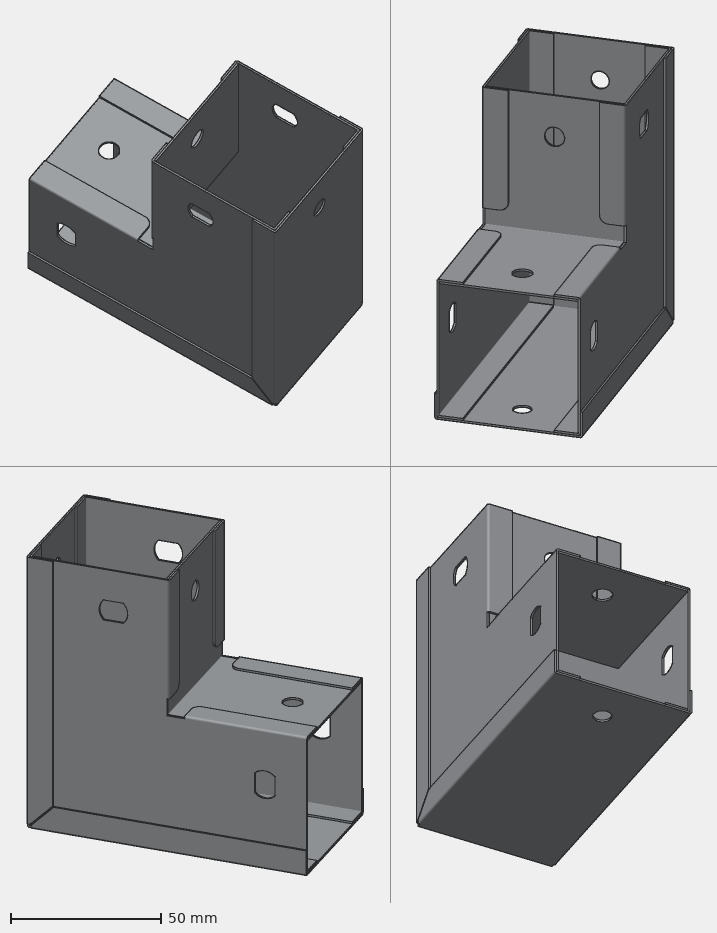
import cadquery as cq
import math


SIZE = 100.0
WIDTH = 51.6
SHEET = 0.75
BEND_INSIDE = 0.1
LEG_DEPTH = 50.1
OUTER_LIP = 9.4
PANEL_LIP = 9.1
NOTCH_LIP_LENGTH = 43.8
NOTCH_LIP_ROUND = 3.0
MITER_GAP = 0.6
HOLE_FROM_END = 15.0
SLOT_HEIGHT = 30.8
SLOT_LENGTH = 10.2
SLOT_WIDTH = 7.4
INNER_HOLE_DIAMETER = 7.0
OUTER_HOLE_DIAMETER = 6.4

BEND_OUTSIDE = BEND_INSIDE + SHEET
PANEL_HALF_WIDTH = WIDTH / 2 - SHEET
PANEL_BEND_Y = PANEL_HALF_WIDTH - BEND_OUTSIDE
PANEL_EDGE_LOW = SHEET + BEND_OUTSIDE
PANEL_EDGE_HIGH = LEG_DEPTH + SHEET - BEND_OUTSIDE
OUTER_BEND_Y = PANEL_HALF_WIDTH - BEND_INSIDE
LIP_END = SIZE - PANEL_EDGE_LOW


def other_leg(body):
    """Mirror a feature of the X leg onto the Z leg."""
    return body.mirror((1, 0, 1), (SIZE, 0, 0))


def on_both_legs(body):
    return body.union(other_leg(body))


def on_both_sides(body):
    return body.union(body.mirror("XZ"))


def bent_lip(bend_y, bend_z, start, end, flat_length, lip_length):
    """Lip along X: a quarter bend about (bend_y, bend_z), then a flat.

    start and end are the unit (y, z) directions from the bend centre to the two ends of the bend.
    """

    def at(radius, along_start, along_end):
        return (
            bend_y + radius * (along_start * start[0] + along_end * end[0]),
            bend_z + radius * (along_start * start[1] + along_end * end[1]),
        )

    def flat_end(radius):
        y, z = at(radius, 0, 1)
        return (y - flat_length * start[0], z - flat_length * start[1])

    middle = math.sqrt(0.5)
    return (
        cq.Workplane("YZ")
        .moveTo(*at(BEND_OUTSIDE, 1, 0))
        .threePointArc(at(BEND_OUTSIDE, middle, middle), at(BEND_OUTSIDE, 0, 1))
        .lineTo(*flat_end(BEND_OUTSIDE))
        .lineTo(*flat_end(BEND_INSIDE))
        .lineTo(*at(BEND_INSIDE, 0, 1))
        .threePointArc(at(BEND_INSIDE, middle, middle), at(BEND_INSIDE, 1, 0))
        .close()
        .extrude(lip_length)
    )


def bent_strip(near, far, inside_corner, outside_corner, half_width):
    """L-shaped strip between the offsets near and far from the outer faces, bent at the elbow."""
    profile = [
        (0, near),
        (SIZE - near, near),
        (SIZE - near, SIZE),
        (SIZE - far, SIZE),
        (SIZE - far, far),
        (0, far),
    ]
    strip = cq.Workplane("XZ").polyline(profile).close().extrude(half_width, both=True)
    strip = strip.edges(cq.NearestToPointSelector((SIZE - near, 0, near))).fillet(outside_corner)
    return strip.edges(cq.NearestToPointSelector((SIZE - far, 0, far))).fillet(inside_corner)


def strip_holes(diameter):
    """Cutter for the round hole through a strip near both open ends."""
    return on_both_legs(
        cq.Workplane("XY").center(HOLE_FROM_END, 0).circle(diameter / 2).extrude(LEG_DEPTH + SHEET)
    )


def panel_slots():
    """Cutter for the round-ended slots: a disc with two flats."""
    disc = (
        cq.Workplane("XZ")
        .center(HOLE_FROM_END, SLOT_HEIGHT)
        .circle(SLOT_LENGTH / 2)
        .extrude(-PANEL_HALF_WIDTH)
    )
    flats = (
        cq.Workplane("XZ")
        .center(HOLE_FROM_END, SLOT_HEIGHT)
        .rect(SLOT_WIDTH, SLOT_LENGTH)
        .extrude(-PANEL_HALF_WIDTH)
    )
    return on_both_legs(disc.intersect(flats))


def make_side_panel():
    """Side panel on the +Y side, with lips inside the outer strip and over the inner strip."""
    outline = [
        (0, PANEL_EDGE_LOW),
        (LIP_END, PANEL_EDGE_LOW),
        (LIP_END, SIZE),
        (SIZE - PANEL_EDGE_HIGH, SIZE),
        (SIZE - PANEL_EDGE_HIGH, PANEL_EDGE_HIGH),
        (0, PANEL_EDGE_HIGH),
    ]
    panel = (
        cq.Workplane("XZ", origin=(0, PANEL_HALF_WIDTH, 0)).polyline(outline).close().extrude(SHEET)
    )
    flat_length = PANEL_LIP - BEND_OUTSIDE
    outer_lip = bent_lip(PANEL_BEND_Y, PANEL_EDGE_LOW, (1, 0), (0, -1), flat_length, LIP_END)
    notch_lip = bent_lip(PANEL_BEND_Y, PANEL_EDGE_HIGH, (1, 0), (0, 1), flat_length, NOTCH_LIP_LENGTH)
    notch_lip = notch_lip.edges("|Z").edges(">X").fillet(NOTCH_LIP_ROUND)
    panel = panel.union(on_both_legs(outer_lip)).union(on_both_legs(notch_lip))
    return panel.cut(panel_slots())


def make_inner_strip():
    """Strip along the notch, fitted between the bends of the side panels."""
    strip = bent_strip(LEG_DEPTH - SHEET, LEG_DEPTH, BEND_INSIDE, BEND_OUTSIDE, PANEL_BEND_Y)
    return strip.cut(strip_holes(INNER_HOLE_DIAMETER))


def make_outer_strip():
    """Strip around the outside of the elbow, with mitred lips outside the side panels."""
    strip = bent_strip(0, SHEET, BEND_INSIDE, BEND_OUTSIDE, OUTER_BEND_Y)
    flat_length = OUTER_LIP - BEND_OUTSIDE
    lip = bent_lip(OUTER_BEND_Y, BEND_OUTSIDE, (0, -1), (1, 0), flat_length, LIP_END)
    miter_end = SIZE - MITER_GAP / 2
    beyond_miter = (
        cq.Workplane("XZ")
        .polyline([(miter_end, 0), (SIZE, OUTER_LIP), (miter_end - OUTER_LIP, OUTER_LIP)])
        .close()
        .extrude(-SIZE)
    )
    strip = strip.union(on_both_sides(on_both_legs(lip.cut(beyond_miter))))
    return strip.cut(strip_holes(OUTER_HOLE_DIAMETER))


outer_strip = make_outer_strip()
inner_strip = make_inner_strip()
side_panel = make_side_panel()
side_panels = [side_panel, side_panel.mirror("XZ")]

result = cq.Compound.makeCompound(
    [outer_strip.solids().val(), inner_strip.solids().val(), *[panel.solids().val() for panel in side_panels]]
)